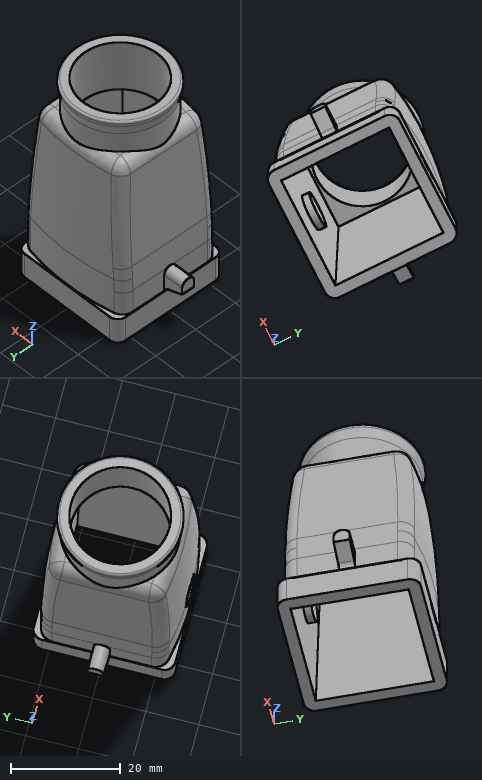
import cadquery as cq

base_side = 26.7
base_height = 6.05
base_corner_radius = 2.05

body_top = 41.95
side_foot_half = 13.25
side_upright_top = 11.5
side_bend_half = 13.05
side_bend_height = 17.5
side_top_half = 11.3
front_foot_half = 13.25
front_bend_height = 14.55
front_top_half = 11.55
front_bulge_radius = 52.25
body_corner_radius = 2.75
body_top_radius = 2.9

total_height = 50.0
neck_radius = 11.0
flare_bottom = 46.55
flare_top = 48.9
rim_radius = 11.55
rim_round = 0.5
bore_radius = 9.25

cavity_foot_half = 11.0
cavity_top_half = 9.75
cavity_height = 38.0

peg_tip = 18.0
peg_radius = 1.5
peg_axis_height = 10.1
peg_tip_bottom = 8.5
peg_root = 12.25
peg_slope_end_reach = 14.1
peg_slope_end_height = 7.05

dimple_height = front_bend_height
dimple_radius = 3.1
dimple_floor_radius = 1.65
dimple_lip_depth = 0.6
dimple_depth = 2.0
boss_radius = 3.5
boss_inner_face = 9.1


def make_base():
    base = cq.Workplane("XY").rect(base_side, base_side).extrude(base_height)
    return base.edges("|Z").fillet(base_corner_radius)


def make_side_limits():
    """Outline across X, with curved tapering sides, carried along Y."""
    half = (
        cq.Workplane("XZ")
        .moveTo(0, base_height)
        .lineTo(side_foot_half, base_height)
        .lineTo(side_foot_half, side_upright_top)
        .tangentArcPoint((side_bend_half, side_bend_height), relative=False)
        .tangentArcPoint((side_top_half, body_top), relative=False)
        .lineTo(0, body_top)
        .close()
        .extrude(base_side, both=True)
    )
    return half.union(half.mirror("YZ"))


def make_bulged_limits():
    """Overlap of two turned solids whose walls form the bulged front and back faces."""
    axis_offset = front_bulge_radius - front_foot_half
    turned = (
        cq.Workplane("XZ")
        .moveTo(0, base_height)
        .lineTo(front_bulge_radius, base_height)
        .lineTo(front_bulge_radius, front_bend_height)
        .tangentArcPoint((axis_offset + front_top_half, body_top), relative=False)
        .lineTo(0, body_top)
        .close()
        .revolve(360, (0, 0), (0, 1))
        .rotate((0, 0, 0), (0, 0, 1), 90)
    )
    front = turned.translate((0, axis_offset, 0))
    back = turned.translate((0, -axis_offset, 0))
    return front.intersect(back)


def make_body():
    body = make_side_limits().intersect(make_bulged_limits())
    corner_edges = body.edges().filter(
        lambda edge: edge.BoundingBox().xlen < body_corner_radius
        and edge.BoundingBox().ylen < body_corner_radius
    )
    body = corner_edges.fillet(body_corner_radius)
    return body.faces(">Z").edges().fillet(body_top_radius)


def make_neck():
    return (
        cq.Workplane("XZ")
        .moveTo(0, cavity_height)
        .lineTo(neck_radius, cavity_height)
        .lineTo(neck_radius, flare_bottom)
        .lineTo(rim_radius, flare_top)
        .lineTo(rim_radius, total_height - rim_round)
        .radiusArc((rim_radius - rim_round, total_height), -rim_round)
        .lineTo(0, total_height)
        .close()
        .revolve(360, (0, 0), (0, 1))
    )


def make_peg():
    """Peg on +X: round on top, with a sloped underside blending into the body wall."""
    sloped_block = (
        cq.Workplane("XZ")
        .moveTo(peg_root, peg_axis_height)
        .lineTo(peg_tip, peg_axis_height)
        .lineTo(peg_tip, peg_tip_bottom)
        .lineTo(peg_slope_end_reach, peg_slope_end_height)
        .tangentArcPoint((side_foot_half, base_height), relative=False)
        .lineTo(peg_root, base_height)
        .close()
        .extrude(peg_radius, both=True)
    )
    round_top = (
        cq.Workplane("YZ", origin=(peg_root, 0, peg_axis_height))
        .circle(peg_radius)
        .extrude(peg_tip - peg_root)
    )
    return sloped_block.union(round_top)


def make_cavity():
    return (
        cq.Workplane("XY")
        .rect(2 * cavity_foot_half, 2 * cavity_foot_half)
        .workplane(offset=cavity_height)
        .rect(2 * cavity_top_half, 2 * cavity_top_half)
        .loft(ruled=True)
    )


def make_bore():
    return cq.Workplane("XY").circle(bore_radius).extrude(total_height)


def make_boss():
    length = front_foot_half - dimple_lip_depth - boss_inner_face
    return (
        cq.Workplane("XZ", origin=(0, -boss_inner_face, dimple_height))
        .circle(boss_radius)
        .extrude(length)
    )


def make_dimple():
    """Turned about the Y direction: a short straight lip, then a cone to a flat floor."""
    lip = -(front_foot_half - dimple_lip_depth)
    floor = -(front_foot_half - dimple_depth)
    return (
        cq.Workplane("XY", origin=(0, 0, dimple_height))
        .moveTo(0, -base_side)
        .lineTo(dimple_radius, -base_side)
        .lineTo(dimple_radius, lip)
        .lineTo(dimple_floor_radius, floor)
        .lineTo(0, floor)
        .close()
        .revolve(360, (0, 0), (0, 1))
    )


peg = make_peg()
outside = make_base().union(make_body()).union(make_neck())
outside = outside.union(peg).union(peg.mirror("YZ"))
hollow = outside.cut(make_cavity()).cut(make_bore())
result = hollow.union(make_boss()).cut(make_dimple())